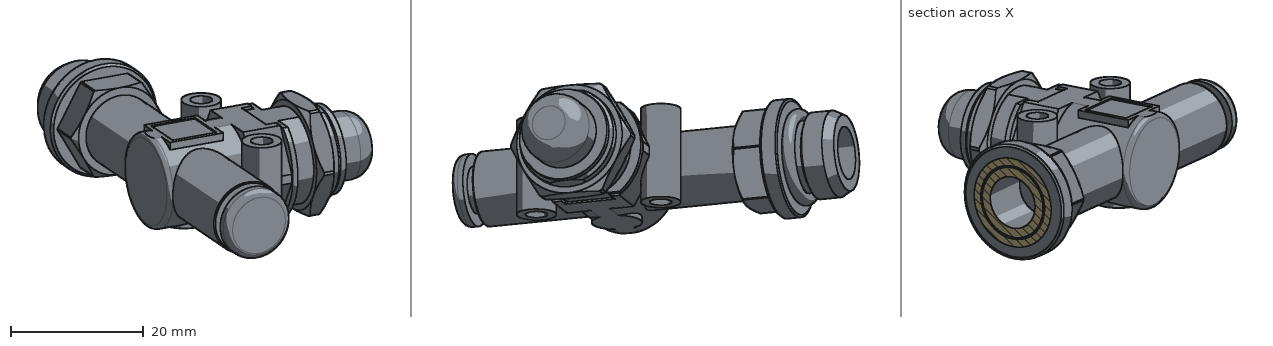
import cadquery as cq
import math


RUN_DIAMETER = 11.45
RUN_START_X = -21.05
RUN_END_X = 21.15
RUN_END_CHAMFER = 0.2
HOUSING_HALF_HEIGHT = 7.3
BARREL_DIAMETER = 14.95
BARREL_FRONT_Y = -6.4
BARREL_FILLET = 0.75
BLOCK_START_Y = 7.3
BLOCK_END_Y = 13.65
BLOCK_HALF_WIDTH = 9.15
BLOCK_TOP_HALF_WIDTH = 5.35
BLOCK_SIDE_HALF_HEIGHT = HOUSING_HALF_HEIGHT - (BLOCK_HALF_WIDTH - BLOCK_TOP_HALF_WIDTH) * math.sqrt(3)
PAD_WIDTH = 8.55
PAD_LENGTH = 9.05
PAD_BASE_Z = 4.9
BOSS_DIAMETER = 7.6
LABEL_WIDTH = 7.1
LABEL_LENGTH = 7.45
LABEL_DEPTH = 0.2

LUG_DIAMETER = 6.0
LUG_HOLE_DIAMETER = 3.3
LUG_X = 9.95
LUG_Y = 8.1

SLEEVE_NECK_DIAMETER = 7.2
SLEEVE_RIM_DIAMETER = 11.1
SLEEVE_RIM_X = 22.7
SLEEVE_END_X = 24.65
SLEEVE_RIM_FILLET = 1.05

OVERALL_LENGTH = 61.5
STUD_END_X = SLEEVE_END_X - OVERALL_LENGTH
STUD_BORE_DIAMETER = 8.0
THREAD_DIAMETER = 13.2
THREAD_TIP_DIAMETER = 11.55
THREAD_TIP_LENGTH = 1.6
THREAD_RELIEF_X = -32.0
NECK_DIAMETER = 11.1
NECK_START_X = -31.4
BEAD_SECTION_RADIUS = 1.0
BEAD_OUTER_DIAMETER = 14.7
FLANGE_DIAMETER = 18.0
FLANGE_START_X = -28.8
FLANGE_END_X = -26.0
FLANGE_OUTER_CHAMFER_LENGTH = 0.2
FLANGE_CHAMFER = 0.35
STUD_HEX_FLATS = 13.95
STUD_HEX_CORNERS = 16.0

GLAND_DIAMETER = 15.0
GLAND_HALF_HEIGHT = 7.0
GLAND_RING_DIAMETER = 18.2
GLAND_RING_START_Y = 13.85
GLAND_RING_END_Y = 14.7
GLAND_CHAMFER_START_Y = 22.5
GLAND_CHAMFER_END_Y = 23.05
COLLAR_DIAMETER = 2 * GLAND_HALF_HEIGHT
COLLAR_END_Y = 24.0
DOME_DIAMETER = 10.6
DOME_ROUND_START_Y = 27.3
DOME_TOP_DIAMETER = 5.3
GLAND_END_Y = 30.55
KEY_WIDTH = 7.4
KEY_END_Y = 11.95
KEY_THICKNESS = 0.2
KEY_SIDE_GAP = 0.3

NUT_START_Y = 18.2
NUT_END_Y = 21.2
NUT_FLATS = 16.9
NUT_CORNERS = 19.25

BEVEL_SLOPE = math.tan(math.radians(30))


def solid_about_x(profile):
    """Revolve a profile, drawn as (x, radius), about the run axis."""
    return profile.revolve(360, (0, 0, 0), (1, 0, 0))


def cylinder_x(diameter, start_x, end_x):
    return cq.Workplane("YZ", origin=(start_x, 0, 0)).circle(diameter / 2).extrude(end_x - start_x)


def cylinder_y(diameter, start_y, end_y):
    return cq.Workplane("XZ", origin=(0, start_y, 0)).circle(diameter / 2).extrude(start_y - end_y)


def box_between(x_range, y_range, z_range):
    """Axis-aligned box given by its (low, high) limits along each axis."""
    spans = (x_range, y_range, z_range)
    sizes = [high - low for low, high in spans]
    corner = tuple(low for low, _ in spans)
    return cq.Workplane("XY").box(*sizes, centered=False).translate(corner)


def trim_height(body, half_height):
    """Keep only the part of a body between flats at +half_height and -half_height."""
    reach = OVERALL_LENGTH
    return body.intersect(box_between((-reach, reach), (-reach, reach), (-half_height, half_height)))


def both_faces(upper):
    """Add the mirror image, below Z = 0, of a feature on the top face."""
    return upper.union(upper.mirror("XY"))


def hexagon_corner_distance(across_flats):
    return across_flats / math.sqrt(3) * 2


def key_shape(width):
    """Rectangular keys on top and bottom that cross the joint between housing and gland."""
    key = box_between(
        (-width / 2, width / 2),
        (KEY_END_Y, GLAND_RING_END_Y),
        (GLAND_HALF_HEIGHT - KEY_THICKNESS, GLAND_HALF_HEIGHT),
    )
    return both_faces(key)


def make_barrel():
    barrel = cylinder_y(BARREL_DIAMETER, BARREL_FRONT_Y, BLOCK_START_Y)
    barrel = barrel.faces("<Y").edges().fillet(BARREL_FILLET)
    return trim_height(barrel, HOUSING_HALF_HEIGHT)


def make_block():
    """Flattened hexagonal block that carries the gland."""
    outline = [
        (BLOCK_HALF_WIDTH, BLOCK_SIDE_HALF_HEIGHT),
        (BLOCK_TOP_HALF_WIDTH, HOUSING_HALF_HEIGHT),
        (-BLOCK_TOP_HALF_WIDTH, HOUSING_HALF_HEIGHT),
        (-BLOCK_HALF_WIDTH, BLOCK_SIDE_HALF_HEIGHT),
        (-BLOCK_HALF_WIDTH, -BLOCK_SIDE_HALF_HEIGHT),
        (-BLOCK_TOP_HALF_WIDTH, -HOUSING_HALF_HEIGHT),
        (BLOCK_TOP_HALF_WIDTH, -HOUSING_HALF_HEIGHT),
        (BLOCK_HALF_WIDTH, -BLOCK_SIDE_HALF_HEIGHT),
    ]
    plane = cq.Workplane("XZ", origin=(0, BLOCK_START_Y, 0))
    return plane.polyline(outline).close().extrude(BLOCK_START_Y - BLOCK_END_Y)


def make_key_slots():
    """Slots for the gland keys, open at the block face and at the top and bottom."""
    half_width = KEY_WIDTH / 2 + KEY_SIDE_GAP
    slot = box_between(
        (-half_width, half_width),
        (KEY_END_Y, BLOCK_END_Y),
        (GLAND_HALF_HEIGHT - KEY_THICKNESS, HOUSING_HALF_HEIGHT),
    )
    return both_faces(slot)


def make_label_pad():
    """Square pad on top of the barrel."""
    return box_between(
        (-PAD_WIDTH / 2, PAD_WIDTH / 2),
        (-PAD_LENGTH / 2, PAD_LENGTH / 2),
        (PAD_BASE_Z, HOUSING_HALF_HEIGHT),
    )


def make_boss():
    """Round boss under the barrel, opposite the label pad."""
    plane = cq.Workplane("XY", origin=(0, 0, -HOUSING_HALF_HEIGHT))
    return plane.circle(BOSS_DIAMETER / 2).extrude(HOUSING_HALF_HEIGHT)


def make_label_recess():
    """Shallow recess in the face of the label pad."""
    return box_between(
        (-LABEL_WIDTH / 2, LABEL_WIDTH / 2),
        (-LABEL_LENGTH / 2, LABEL_LENGTH / 2),
        (HOUSING_HALF_HEIGHT - LABEL_DEPTH, HOUSING_HALF_HEIGHT),
    )


def lug_cylinders(diameter):
    """Two vertical cylinders, one in each corner between run and branch."""
    plane = cq.Workplane("XY", origin=(0, 0, -HOUSING_HALF_HEIGHT))
    points = plane.pushPoints([(-LUG_X, LUG_Y), (LUG_X, LUG_Y)])
    return points.circle(diameter / 2).extrude(2 * HOUSING_HALF_HEIGHT)


def make_sleeve():
    """Sleeve end with a rounded rim, standing out of the run."""
    neck = cylinder_x(SLEEVE_NECK_DIAMETER, RUN_END_X, SLEEVE_RIM_X)
    rim = cylinder_x(SLEEVE_RIM_DIAMETER, SLEEVE_RIM_X, SLEEVE_END_X)
    return neck.union(rim.faces(">X").edges().fillet(SLEEVE_RIM_FILLET))


def make_housing():
    run = cylinder_x(RUN_DIAMETER, RUN_START_X, RUN_END_X)
    run = run.faces(">X").edges().chamfer(RUN_END_CHAMFER)
    housing = run.union(make_barrel()).union(make_block()).union(make_label_pad()).union(make_boss())
    housing = housing.union(lug_cylinders(LUG_DIAMETER)).union(make_sleeve())
    housing = housing.cut(lug_cylinders(LUG_HOLE_DIAMETER))
    return housing.cut(make_label_recess()).cut(make_key_slots())


def make_stud_hex():
    """Hexagon with corners at +Y and -Y, turned down at its corners and bevelled at the run end."""
    corner_radius = STUD_HEX_CORNERS / 2
    end_radius = STUD_HEX_FLATS / 2
    bevel_length = (corner_radius - end_radius) * BEVEL_SLOPE
    hexagon = cq.Workplane("YZ", origin=(FLANGE_END_X, 0, 0))
    hexagon = hexagon.polygon(6, hexagon_corner_distance(STUD_HEX_FLATS)).extrude(RUN_START_X - FLANGE_END_X)
    envelope = solid_about_x(
        cq.Workplane("XY")
        .moveTo(FLANGE_END_X, 0)
        .lineTo(FLANGE_END_X, corner_radius)
        .lineTo(RUN_START_X - bevel_length, corner_radius)
        .lineTo(RUN_START_X, end_radius)
        .lineTo(RUN_START_X, 0)
        .close()
    )
    return hexagon.intersect(envelope)


def make_stud():
    """Threaded stud with sealing bead, flange and hexagon, bored through."""
    flange_radius = FLANGE_DIAMETER / 2
    turned = solid_about_x(
        cq.Workplane("XY")
        .moveTo(STUD_END_X, 0)
        .lineTo(STUD_END_X, THREAD_TIP_DIAMETER / 2)
        .lineTo(STUD_END_X + THREAD_TIP_LENGTH, THREAD_DIAMETER / 2)
        .lineTo(THREAD_RELIEF_X, THREAD_DIAMETER / 2)
        .lineTo(NECK_START_X, NECK_DIAMETER / 2)
        .lineTo(FLANGE_START_X, NECK_DIAMETER / 2)
        .lineTo(FLANGE_START_X, flange_radius - FLANGE_CHAMFER)
        .lineTo(FLANGE_START_X + FLANGE_OUTER_CHAMFER_LENGTH, flange_radius)
        .lineTo(FLANGE_END_X - FLANGE_CHAMFER, flange_radius)
        .lineTo(FLANGE_END_X, flange_radius - FLANGE_CHAMFER)
        .lineTo(FLANGE_END_X, 0)
        .close()
    )
    bead_center_radius = BEAD_OUTER_DIAMETER / 2 - BEAD_SECTION_RADIUS
    bead_section = cq.Workplane("XY").center(FLANGE_START_X - BEAD_SECTION_RADIUS, bead_center_radius)
    bead = bead_section.circle(BEAD_SECTION_RADIUS).revolve(
        360, (0, -bead_center_radius, 0), (1, -bead_center_radius, 0)
    )
    bore = cylinder_x(STUD_BORE_DIAMETER, STUD_END_X, RUN_START_X)
    return turned.union(bead).union(make_stud_hex()).cut(bore)


def make_gland():
    """Round gland with flats top and bottom, a domed end and two keys that enter the housing."""
    dome_radius = DOME_DIAMETER / 2
    inset = dome_radius - DOME_TOP_DIAMETER / 2
    rise = GLAND_END_Y - DOME_ROUND_START_Y
    arc_radius = (inset ** 2 + rise ** 2) / (2 * inset)
    half_angle = math.asin(rise / arc_radius) / 2
    arc_middle = (
        dome_radius - arc_radius * (1 - math.cos(half_angle)),
        DOME_ROUND_START_Y + arc_radius * math.sin(half_angle),
    )
    turned = (
        cq.Workplane("XY")
        .moveTo(0, GLAND_RING_START_Y)
        .lineTo(GLAND_RING_DIAMETER / 2, GLAND_RING_START_Y)
        .lineTo(GLAND_RING_DIAMETER / 2, GLAND_RING_END_Y)
        .lineTo(GLAND_DIAMETER / 2, GLAND_RING_END_Y)
        .lineTo(GLAND_DIAMETER / 2, GLAND_CHAMFER_START_Y)
        .lineTo(COLLAR_DIAMETER / 2, GLAND_CHAMFER_END_Y)
        .lineTo(COLLAR_DIAMETER / 2, COLLAR_END_Y)
        .lineTo(dome_radius, COLLAR_END_Y)
        .lineTo(dome_radius, DOME_ROUND_START_Y)
        .threePointArc(arc_middle, (DOME_TOP_DIAMETER / 2, GLAND_END_Y))
        .lineTo(0, GLAND_END_Y)
        .close()
        .revolve(360, (0, 0, 0), (0, 1, 0))
    )
    return trim_height(turned, GLAND_HALF_HEIGHT).union(key_shape(KEY_WIDTH))


def make_nut():
    """Hexagon nut with corners at +X and -X, bevelled on both faces, around the gland."""
    corner_radius = NUT_CORNERS / 2
    face_radius = NUT_FLATS / 2
    bevel_length = (corner_radius - face_radius) * BEVEL_SLOPE
    hexagon = cq.Workplane("XZ", origin=(0, NUT_START_Y, 0))
    hexagon = hexagon.polygon(6, hexagon_corner_distance(NUT_FLATS)).extrude(NUT_START_Y - NUT_END_Y)
    envelope = (
        cq.Workplane("XY")
        .moveTo(0, NUT_START_Y)
        .lineTo(face_radius, NUT_START_Y)
        .lineTo(corner_radius, NUT_START_Y + bevel_length)
        .lineTo(corner_radius, NUT_END_Y - bevel_length)
        .lineTo(face_radius, NUT_END_Y)
        .lineTo(0, NUT_END_Y)
        .close()
        .revolve(360, (0, 0, 0), (0, 1, 0))
    )
    return hexagon.intersect(envelope).cut(cylinder_y(GLAND_DIAMETER, NUT_START_Y, NUT_END_Y))


housing = make_housing()
stud = make_stud()
gland = make_gland()
nut = make_nut()

result = cq.Compound.makeCompound([housing.val(), stud.val(), gland.val(), nut.val()])